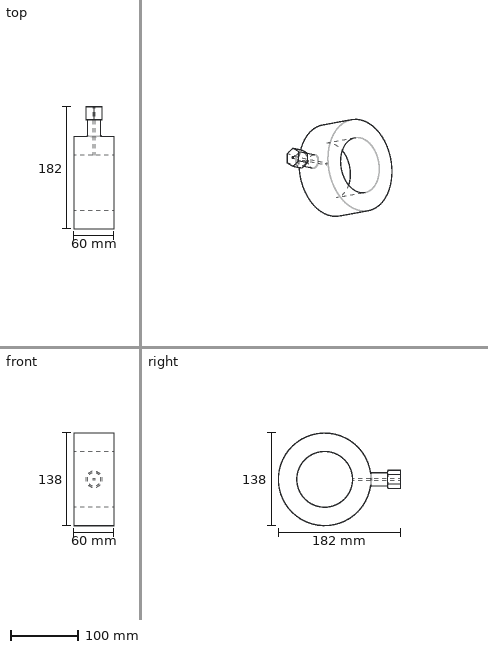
import cadquery as cq
import math

ring_diameter = 138.0
ring_width = 60.0
bore_diameter = 82.5
ring_edge_radius = 0.5

overall_length = 182.0
neck_diameter = 20.0
neck_fillet = 1.0
hex_across_flats = 24.0
hex_length = 20.0
hex_chamfer_angle = 15.0
passage_diameter = 3.0

ring_radius = ring_diameter / 2
bore_radius = bore_diameter / 2
neck_radius = neck_diameter / 2
neck_root = (ring_radius + bore_radius) / 2
connection_end = overall_length - ring_radius
hex_start = connection_end - hex_length
hex_across_corners = hex_across_flats / math.cos(math.pi / 6)


def along_y(start):
    """Workplane at Y = start that extrudes towards +Y, with its local x along Z."""
    return cq.Workplane(cq.Plane(origin=(0, start, 0), xDir=(0, 0, 1), normal=(0, 1, 0)))


def make_ring():
    """Plain ring with its inner and outer edges slightly rounded."""
    ring = cq.Workplane("YZ").circle(ring_radius).circle(bore_radius).extrude(ring_width / 2, both=True)
    return ring.faces("<X or >X").edges().fillet(ring_edge_radius)


def make_neck():
    """Round neck, rooted inside the ring wall and ending at the hexagon."""
    return along_y(neck_root).circle(neck_radius).extrude(hex_start - neck_root)


def join_neck_to_ring():
    """Ring and neck as one body, filleted around the foot of the neck."""
    body = make_ring().union(make_neck())
    foot = cq.selectors.BoxSelector(
        (-neck_diameter, neck_root, -neck_diameter),
        (neck_diameter, ring_radius + neck_fillet, neck_diameter),
    )
    return body.edges(foot).fillet(neck_fillet)


def make_hexagon():
    """Hexagon with corners on +Z and -Z, its inner end trimmed by a shallow cone."""
    prism = along_y(hex_start).polygon(6, hex_across_corners).extrude(hex_length)
    corner_radius = hex_across_corners / 2
    cone_length = (corner_radius - neck_radius) * math.tan(math.radians(hex_chamfer_angle))
    envelope = (
        cq.Workplane("XY")
        .moveTo(0, hex_start)
        .lineTo(neck_radius, hex_start)
        .lineTo(corner_radius, hex_start + cone_length)
        .lineTo(corner_radius, connection_end)
        .lineTo(0, connection_end)
        .close()
        .revolve(360, (0, 0, 0), (0, 1, 0))
    )
    return prism.intersect(envelope)


def make_passage():
    """Small radial hole from the bore out through the neck and the hexagon."""
    return along_y(0).circle(passage_diameter / 2).extrude(connection_end)


result = join_neck_to_ring().union(make_hexagon()).cut(make_passage())